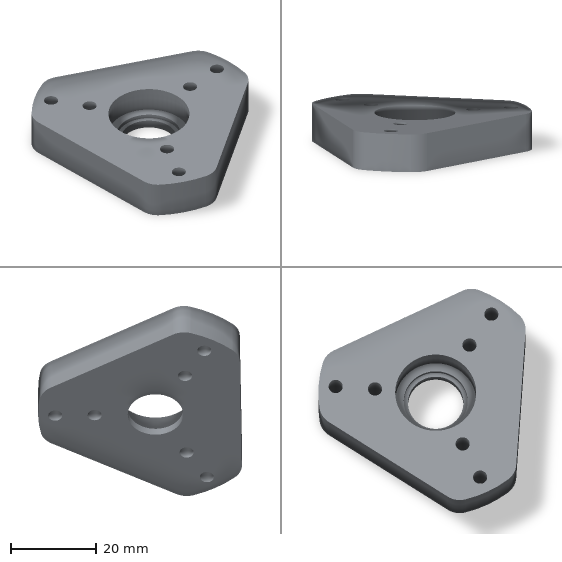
import cadquery as cq
import math

plate_thickness = 9.0
disc_radius = 27.5
flat_distance = 20.0
corner_radius = 5.0
arm_count = 3
arm_angle = 360.0 / arm_count
first_arm_angle = 90.0

bearing_diameter = 19.0
bearing_depth = 6.0
relief_diameter = 15.0
relief_depth = 7.0
bore_diameter = 13.0

hole_diameter = 3.3
inner_hole_distance = 14.25
outer_hole_distance = 23.5


def make_plate():
    """Disc trimmed by one flat opposite each arm, vertical corners rounded."""
    plate = cq.Workplane("XY").circle(disc_radius).extrude(plate_thickness)
    disc_diameter = 2 * disc_radius
    for arm in range(arm_count):
        trim = (
            cq.Workplane("XY")
            .center(0, -flat_distance - disc_radius)
            .rect(2 * disc_diameter, disc_diameter)
            .extrude(plate_thickness)
            .rotate((0, 0, 0), (0, 0, 1), arm * arm_angle)
        )
        plate = plate.cut(trim)
    return plate.edges("|Z").fillet(corner_radius)


def cut_from_top(body, diameter, depth):
    """Sink a round central pocket into the top face."""
    pocket = (
        cq.Workplane("XY")
        .workplane(offset=plate_thickness - depth)
        .circle(diameter / 2)
        .extrude(depth)
    )
    return body.cut(pocket)


def arm_hole_points():
    """Centres of the inner and outer screw hole on every arm."""
    points = []
    for arm in range(arm_count):
        angle = math.radians(first_arm_angle + arm * arm_angle)
        for distance in (inner_hole_distance, outer_hole_distance):
            points.append((distance * math.cos(angle), distance * math.sin(angle)))
    return points


def cut_arm_holes(body):
    """Drill the screw holes through the full thickness."""
    holes = (
        cq.Workplane("XY")
        .pushPoints(arm_hole_points())
        .circle(hole_diameter / 2)
        .extrude(plate_thickness)
    )
    return body.cut(holes)


result = make_plate()
result = cut_from_top(result, bearing_diameter, bearing_depth)
result = cut_from_top(result, relief_diameter, relief_depth)
result = cut_from_top(result, bore_diameter, plate_thickness)
result = cut_arm_holes(result)